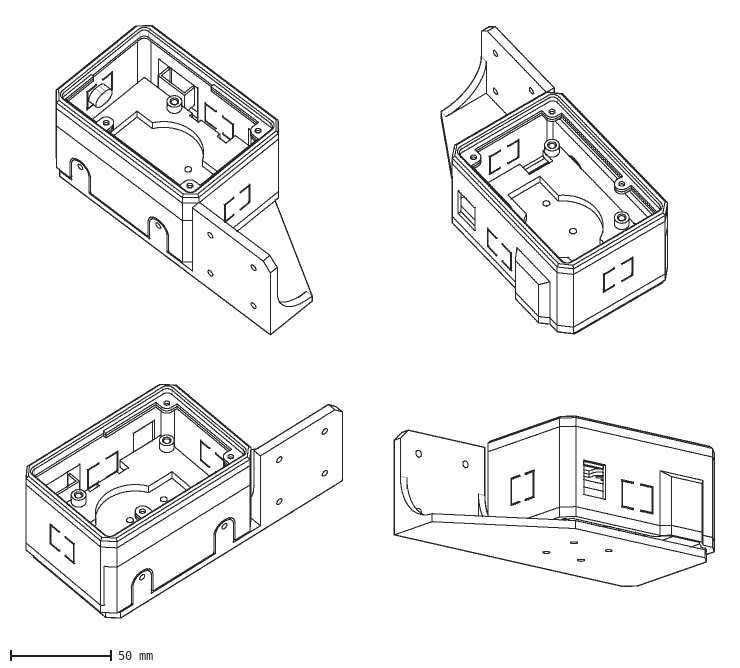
import cadquery as cq
import math

BOX_LENGTH = 98.9
BOX_DEPTH = 68.7
CORNER_CHAMFER = 5.9
BASE_BOTTOM = 5.1
BASE_TOP = 10.2
PANEL_TOP = 38.0
PANEL_THICKNESS = 4.6
RIM_BOTTOM = 51.9
BOX_TOP = 57.6
WALL = 1.8
BASE_WALL = 3.7

RIM_CHAMFER = 1.2
RIM_OPENING_INSET = 4.2
OPENING_CHAMFER = 1.0
OPENING_CORNER_RADIUS = 3.1
LEDGE_TOP = 53.6
LEDGE_BOTTOM = 50.2
LEDGE_BACK_START = 52.4
LEDGE_RIGHT_EDGE = 92.4
LEDGE_LEFT_EDGE = 5.9
LEDGE_LEFT_END = 26.6

BOARD_LEFT = 6.8
BOARD_RIGHT = 92.0
BOARD_FRONT = 6.5
BOARD_BACK = 62.5
HOLE_LEFT = 31.0
HOLE_RIGHT = 88.9
HOLE_FRONT = 9.7
HOLE_BACK = 58.5
LUG_DIAMETER = 7.4
LUG_HOLE_DIAMETER = 3.0

TRAY_BOTTOM = 17.4
TRAY_TOP = 22.0
TRAY_BACK = 62.0
STANDOFF_HEIGHT = 5.0
STANDOFF_HOLE_DIAMETER = 3.2
STANDOFF_COUNTERSINK_DIAMETER = 4.3
WINDOW_CENTER = (47.1, 34.0)
WINDOW_DIAMETER = 39.9
WINDOW_LEFT = 19.1
WINDOW_RIGHT = 79.8
WINDOW_DEPTH = 19.9
TRAY_NOTCH_STARTS = (39.9, 59.0)
TRAY_NOTCH_WIDTH = 6.2
TRAY_NOTCH_FRONT = 60.2
HOLDER_LEFT = 16.2
HOLDER_RIGHT = 34.5
HOLDER_BACK = 69.3
HOLDER_TOP = 31.5
HOLDER_WALL = 1.2
SIDE_NOTCH_LEFT = 83.8
SIDE_NOTCH_FRONT = 13.1
SIDE_NOTCH_BACK = 27.4

HUMP_CENTER = 25.5
HUMP_BASE_WIDTH = 27.4
HUMP_DEPTH = 4.0
HUMP_TOP = 38.7
HUMP_EDGE_TOP = 35.5
HUMP_WALL = 1.4

FLAP_WIDTH = 18.3
FLAP_HEIGHT = 14.2
FLAP_SLOT = 0.6
FLAP_BRIDGE = 4.6
LEFT_FLAP_CENTER = (35.1, 31.1)
RIGHT_FLAP_CENTER = (33.3, 27.0)
BACK_FLAP_CENTER = (53.9, 22.5)
BACK_FLAP_WIDTH = 19.9
PUSHER_CENTER = 33.1
PUSHER_WIDTH = 11.7
PUSHER_HEIGHT = 9.2
BACK_WINDOW_LEFT = 74.2
BACK_WINDOW_WIDTH = 13.9
BACK_WINDOW_TOP = 35.3

BRACKET_LENGTH = 154.0
BRACKET_LEFT = 2.8
BRACKET_DEPTH = 65.3
BRACKET_THICKNESS = 4.2
BRACKET_CHAMFER = 5.2
SLOPE_START = 90.7
ARM_DEPTH = 30.0
PLATE_LEFT = 100.0
PLATE_TOP = 54.2
PLATE_THICKNESS = 5.0
PLATE_CHAMFER = 5.1
PLATE_HOLES_X = (112.5, 142.3)
PLATE_HOLES_Z = (13.1, 43.1)
BRACKET_HOLE_DIAMETER = 3.4
FLOOR_HOLES_X = (53.3, 75.5)
FLOOR_HOLES_Y = (23.3, 45.3)
GUSSET_THICKNESS = 4.2
TAB_CENTERS = (22.3, 76.4)
TAB_WIDTH = 12.0
TAB_ARC_HEIGHT = 17.3
TAB_CLEARANCE = 1.0
TAB_HOLE_HEIGHT = 19.7
TAB_HOLE_DIAMETER = 3.2
PADS = ((2.8, 4.3, 27.4, 39.1), (92.0, 3.7, 5.2, 27.4))


def block(x0, x1, y0, y1, z0, z1):
    """Box between opposite corners."""
    return cq.Workplane("XY").box(x1 - x0, y1 - y0, z1 - z0, centered=False).translate((x0, y0, z0))


def cylinder(x, y, diameter, z0, z1):
    """Upright cylinder between two heights."""
    return cq.Workplane("XY", origin=(x, y, z0)).circle(diameter / 2).extrude(z1 - z0)


def outline_prism(inset, z0, z1):
    """Prism on the enclosure outline, moved inward by an even distance."""
    leg = CORNER_CHAMFER - inset * (2 - math.sqrt(2))
    prism = block(inset, BOX_LENGTH - inset, inset, BOX_DEPTH - inset, z0, z1)
    return prism.edges("|Z").chamfer(leg)


def rim_opening(z0, z1):
    """Round-cornered opening of the rim."""
    inset = RIM_OPENING_INSET
    opening = block(inset, BOX_LENGTH - inset, inset, BOX_DEPTH - inset, z0, z1)
    return opening.edges("|Z").fillet(OPENING_CORNER_RADIUS)


def hump(inset, z0):
    """Trapezoid hump on the back wall with a sloped top, moved inward by an even distance."""
    half_base = HUMP_BASE_WIDTH / 2 - inset * math.sqrt(2)
    depth = HUMP_DEPTH - inset
    half_edge = HUMP_BASE_WIDTH / 2 - HUMP_DEPTH - inset * (math.sqrt(2) - 1)
    root = BASE_WALL
    plan = (
        cq.Workplane("XY", origin=(HUMP_CENTER, BOX_DEPTH, z0))
        .polyline([(-half_base - root, -root), (-half_edge, depth),
                   (half_edge, depth), (half_base + root, -root)])
        .close()
        .extrude(HUMP_TOP - z0)
    )
    top_slope = (HUMP_TOP - HUMP_EDGE_TOP) / HUMP_DEPTH
    lowering = inset * math.sqrt(1 + top_slope**2)
    profile = (
        cq.Workplane("YZ", origin=(HUMP_CENTER - HUMP_BASE_WIDTH, 0, 0))
        .polyline([(BOX_DEPTH - root, z0), (BOX_DEPTH + HUMP_DEPTH, z0),
                   (BOX_DEPTH + HUMP_DEPTH, HUMP_EDGE_TOP - lowering), (BOX_DEPTH, HUMP_TOP - lowering),
                   (BOX_DEPTH - root, HUMP_TOP - lowering)])
        .close()
        .extrude(2 * HUMP_BASE_WIDTH)
    )
    return plan.intersect(profile)


def ledge(z0, z1):
    """Ledge around the board with three screw lugs, clipped to the rim opening."""
    inset = RIM_OPENING_INSET
    right, back = BOX_LENGTH - inset, BOX_DEPTH - inset
    radius = LUG_DIAMETER / 2
    shelf = block(LEDGE_RIGHT_EDGE, right, inset, back, z0, z1)
    shelf = shelf.union(block(inset, right, inset, BOARD_FRONT, z0, z1))
    shelf = shelf.union(block(LEDGE_BACK_START, right, BOARD_BACK, back, z0, z1))
    shelf = shelf.union(block(inset, LEDGE_LEFT_EDGE, inset, LEDGE_LEFT_END, z0, z1))
    for x, y, wall_y in ((HOLE_LEFT, HOLE_FRONT, inset), (HOLE_RIGHT, HOLE_FRONT, inset),
                         (HOLE_RIGHT, HOLE_BACK, back)):
        shelf = shelf.union(cylinder(x, y, LUG_DIAMETER, z0, z1))
        low, high = min(y, wall_y), max(y, wall_y)
        shelf = shelf.union(block(x - radius, x + radius, low, high, z0, z1))
        if x == HOLE_RIGHT:
            shelf = shelf.union(block(x, right, min(wall_y, y - radius), max(wall_y, y + radius), z0, z1))
        shelf = shelf.cut(cylinder(x, y, LUG_HOLE_DIAMETER, z0, z1))
    return shelf.intersect(rim_opening(z0, z1))


def flap_slots(width):
    """Slots around a knock-out flap held by a bridge above and below it, upright in the XZ plane."""
    cut_depth = 2 * WALL
    frame = cq.Workplane("XY").box(width, cut_depth, FLAP_HEIGHT)
    frame = frame.cut(cq.Workplane("XY").box(width - 2 * FLAP_SLOT, cut_depth, FLAP_HEIGHT - 2 * FLAP_SLOT))
    return frame.cut(cq.Workplane("XY").box(FLAP_BRIDGE, cut_depth, FLAP_HEIGHT))


def tongue(x, width, z0, arc_height):
    """Upright round-topped tongue as thick as the front panel."""
    plate = block(x - width / 2, x + width / 2, 0, PANEL_THICKNESS, z0, arc_height)
    head = cq.Workplane("XZ", origin=(x, 0, arc_height)).circle(width / 2).extrude(-PANEL_THICKNESS)
    return plate.union(head)


def make_base():
    """Bottom frame with the upright front panel and the clearance slots for the bracket tabs."""
    base = outline_prism(0, BASE_BOTTOM, BASE_TOP)
    base = base.union(hump(0, BASE_BOTTOM).intersect(
        block(0, BOX_LENGTH, 0, BOX_DEPTH + HUMP_DEPTH, BASE_BOTTOM, BASE_TOP)))
    base = base.cut(outline_prism(BASE_WALL, BASE_BOTTOM, BASE_TOP)).cut(hump(HUMP_WALL, BASE_BOTTOM))
    panel = outline_prism(0, BASE_BOTTOM, PANEL_TOP)
    base = base.union(panel.intersect(block(0, BOX_LENGTH, 0, PANEL_THICKNESS, BASE_BOTTOM, PANEL_TOP)))
    for x in TAB_CENTERS:
        base = base.cut(tongue(x, TAB_WIDTH + 2 * TAB_CLEARANCE, BASE_BOTTOM, TAB_ARC_HEIGHT))
    return base


def make_walls():
    """Side walls with the hump, the ledge, the knock-out flaps and the back window."""
    walls = outline_prism(0, BASE_TOP, RIM_BOTTOM).union(hump(0, BASE_TOP))
    walls = walls.cut(outline_prism(WALL, BASE_TOP, LEDGE_BOTTOM)).cut(hump(HUMP_WALL, BASE_TOP))
    walls = walls.cut(rim_opening(LEDGE_BOTTOM, RIM_BOTTOM)).union(ledge(LEDGE_BOTTOM, RIM_BOTTOM))
    walls = walls.cut(block(0, BOX_LENGTH, 0, PANEL_THICKNESS, BASE_TOP, PANEL_TOP))
    for x, (y, z) in ((0, LEFT_FLAP_CENTER), (BOX_LENGTH, RIGHT_FLAP_CENTER)):
        slots = flap_slots(FLAP_WIDTH).rotate((0, 0, 0), (0, 0, 1), 90)
        walls = walls.cut(slots.translate((x, y, z)))
    flap_x, flap_z = BACK_FLAP_CENTER
    walls = walls.cut(flap_slots(BACK_FLAP_WIDTH).translate((flap_x, BOX_DEPTH, flap_z)))
    walls = walls.cut(block(BACK_WINDOW_LEFT, BACK_WINDOW_LEFT + BACK_WINDOW_WIDTH,
                            BOX_DEPTH - 2 * WALL, BOX_DEPTH, TRAY_BOTTOM, BACK_WINDOW_TOP))
    pusher = (
        cq.Workplane("YZ", origin=(WALL, PUSHER_CENTER, LEFT_FLAP_CENTER[1]))
        .slot2D(PUSHER_WIDTH, PUSHER_HEIGHT)
        .extrude(BOARD_LEFT - WALL)
    )
    return walls.union(pusher)


def make_rim():
    """Top rim with chamfered edges and the upper part of the ledge."""
    rim = outline_prism(0, RIM_BOTTOM, BOX_TOP).faces(">Z").chamfer(RIM_CHAMFER)
    rim = rim.cut(rim_opening(RIM_BOTTOM, BOX_TOP))
    opening_edges = rim.faces(">Z").wires(cq.selectors.LengthNthSelector(0)).edges()
    rim = opening_edges.chamfer(OPENING_CHAMFER)
    return rim.union(ledge(RIM_BOTTOM, LEDGE_TOP))


def tray_holder():
    """U-shaped upright holder on the back edge of the tray, open toward the hump."""
    inner_front = TRAY_BACK + HOLDER_WALL
    holder = block(HOLDER_LEFT, HOLDER_RIGHT, TRAY_BACK, HOLDER_BACK, TRAY_BOTTOM, HOLDER_TOP)
    return holder.cut(block(HOLDER_LEFT + HOLDER_WALL, HOLDER_RIGHT - HOLDER_WALL, inner_front, HOLDER_BACK,
                            TRAY_BOTTOM, HOLDER_TOP))


def make_tray():
    """Board tray with its large window, edge notches, holder and four standoffs."""
    wall_face = BOX_DEPTH - WALL
    tray = block(BOARD_LEFT, BOARD_RIGHT, PANEL_THICKNESS, TRAY_BACK, TRAY_BOTTOM, TRAY_TOP)
    back_tab_left = TRAY_NOTCH_STARTS[-1] + TRAY_NOTCH_WIDTH
    tray = tray.union(block(back_tab_left, BOARD_RIGHT, TRAY_NOTCH_FRONT, wall_face, TRAY_BOTTOM, TRAY_TOP))
    tray = tray.union(tray_holder())
    for x in TRAY_NOTCH_STARTS:
        tray = tray.cut(block(x, x + TRAY_NOTCH_WIDTH, TRAY_NOTCH_FRONT, wall_face, TRAY_BOTTOM, TRAY_TOP))
    tray = tray.cut(block(SIDE_NOTCH_LEFT, BOARD_RIGHT, SIDE_NOTCH_FRONT, SIDE_NOTCH_BACK,
                          TRAY_BOTTOM, TRAY_TOP))
    window_x, window_y = WINDOW_CENTER
    tray = tray.cut(cylinder(window_x, window_y, WINDOW_DIAMETER, TRAY_BOTTOM, TRAY_TOP))
    tray = tray.cut(block(WINDOW_LEFT, WINDOW_RIGHT, window_y - WINDOW_DEPTH / 2,
                          window_y + WINDOW_DEPTH / 2, TRAY_BOTTOM, TRAY_TOP))
    standoff_top = TRAY_TOP + STANDOFF_HEIGHT
    for x in (HOLE_LEFT, HOLE_RIGHT):
        for y in (HOLE_FRONT, HOLE_BACK):
            standoff = (
                cylinder(x, y, LUG_DIAMETER, TRAY_TOP, standoff_top)
                .faces(">Z").workplane(origin=(x, y, standoff_top))
                .cskHole(STANDOFF_HOLE_DIAMETER, STANDOFF_COUNTERSINK_DIAMETER, 90)
            )
            tray = tray.union(standoff)
    return tray


def bracket_floor():
    """Floor plate with chamfered left corners, a sloped back and four holes."""
    floor = (
        cq.Workplane("XY")
        .polyline([(BRACKET_LEFT, BRACKET_CHAMFER), (BRACKET_LEFT + BRACKET_CHAMFER, 0), (BRACKET_LENGTH, 0),
                   (BRACKET_LENGTH, ARM_DEPTH), (SLOPE_START, BRACKET_DEPTH),
                   (BRACKET_LEFT + BRACKET_CHAMFER, BRACKET_DEPTH),
                   (BRACKET_LEFT, BRACKET_DEPTH - BRACKET_CHAMFER)])
        .close()
        .extrude(BRACKET_THICKNESS)
    )
    for x in FLOOR_HOLES_X:
        for y in FLOOR_HOLES_Y:
            floor = floor.cut(cylinder(x, y, BRACKET_HOLE_DIAMETER, 0, BRACKET_THICKNESS))
    return floor


def bracket_plate():
    """Upright mounting plate with one chamfered corner and four holes."""
    plate = block(PLATE_LEFT, BRACKET_LENGTH, 0, PLATE_THICKNESS, 0, PLATE_TOP)
    plate = plate.edges(">X and >Z").chamfer(PLATE_CHAMFER)
    centers = [(x, z) for x in PLATE_HOLES_X for z in PLATE_HOLES_Z]
    holes = (
        cq.Workplane("XZ")
        .pushPoints(centers)
        .circle(BRACKET_HOLE_DIAMETER / 2)
        .extrude(-PLATE_THICKNESS)
    )
    return plate.cut(holes)


def gusset(x):
    """Concave quarter-round gusset between the floor and the upright plate."""
    radius = ARM_DEPTH - PLATE_THICKNESS
    blank = block(x, x + GUSSET_THICKNESS, PLATE_THICKNESS, ARM_DEPTH,
                  BRACKET_THICKNESS, BRACKET_THICKNESS + radius)
    hollow = (
        cq.Workplane("YZ", origin=(x, ARM_DEPTH, BRACKET_THICKNESS + radius))
        .circle(radius)
        .extrude(GUSSET_THICKNESS)
    )
    return blank.cut(hollow)


def make_bracket():
    """Bracket with floor, upright plate, gussets, screw tabs and support pads."""
    bracket = bracket_floor().union(bracket_plate())
    for x in (PLATE_LEFT, BRACKET_LENGTH - GUSSET_THICKNESS):
        bracket = bracket.union(gusset(x))
    for x in TAB_CENTERS:
        screw_hole = (
            cq.Workplane("XZ", origin=(x, 0, TAB_HOLE_HEIGHT))
            .circle(TAB_HOLE_DIAMETER / 2)
            .extrude(-PANEL_THICKNESS)
        )
        bracket = bracket.union(tongue(x, TAB_WIDTH, 0, TAB_ARC_HEIGHT).cut(screw_hole))
    for left, width, front, back in PADS:
        bracket = bracket.union(block(left, left + width, front, back, BRACKET_THICKNESS, BASE_BOTTOM))
    return bracket


base = make_base()
walls = make_walls()
rim = make_rim()
tray = make_tray()
bracket = make_bracket()

result = cq.Compound.makeCompound([body.solids().val() for body in (base, walls, rim, tray, bracket)])